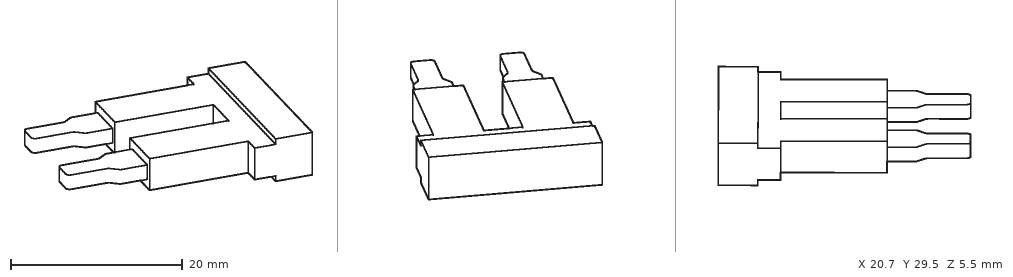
import cadquery as cq


WIDTH = 20.7
LENGTH = 29.5
HEIGHT = 5.5

HEAD_LENGTH = 4.65
BODY_HEIGHT = 4.1
CROSSBAR_END = 7.3
LEG_END = 19.75
LEG_WIDTH = 6.03
LEG_PITCH = 10.66
LEG_CENTRES = (-LEG_PITCH / 2, LEG_PITCH / 2)

PIN_THICKNESS = 1.87
PIN_WIDTH = 4.63
TIP_WIDTH = 2.88
SHOULDER_OFFSET = 3.4
TAPER_LENGTH = 1.15
CORNER_RADIUS = 0.5


def block_from_back(width, length, height, x_centre=0.0):
    """Box reaching from the back face toward -Y, centred on Z."""
    return (
        cq.Workplane("XY")
        .box(width, length, height, centered=(True, False, True))
        .translate((x_centre, -length, 0))
    )


def pin(x_centre):
    """Flat pin that narrows to its tip, with every visible corner rounded."""
    taper_start = -(LEG_END + SHOULDER_OFFSET)
    taper_end = taper_start - TAPER_LENGTH
    half_pin = PIN_WIDTH / 2
    half_tip = TIP_WIDTH / 2
    outline = [
        (-half_pin, -LEG_END),
        (-half_pin, taper_start),
        (-half_tip, taper_end),
        (-half_tip, -LENGTH),
        (half_tip, -LENGTH),
        (half_tip, taper_end),
        (half_pin, taper_start),
        (half_pin, -LEG_END),
    ]
    return (
        cq.Workplane("XY")
        .polyline(outline)
        .close()
        .extrude(PIN_THICKNESS / 2, both=True)
        .edges("|Z")
        .edges("not(>Y)")
        .fillet(CORNER_RADIUS)
        .translate((x_centre, 0, 0))
    )


head = block_from_back(WIDTH, HEAD_LENGTH, HEIGHT)
crossbar = block_from_back(WIDTH, CROSSBAR_END, BODY_HEIGHT)
result = head.union(crossbar)

for leg_centre in LEG_CENTRES:
    leg = block_from_back(LEG_WIDTH, LEG_END, BODY_HEIGHT, leg_centre)
    result = result.union(leg).union(pin(leg_centre))